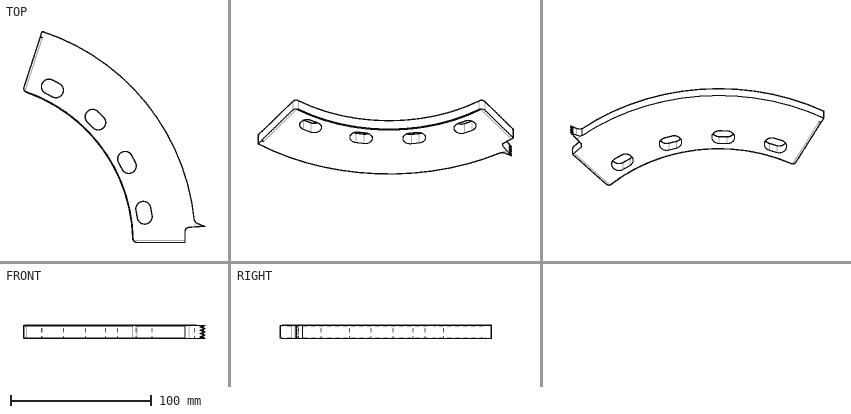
import cadquery as cq
import math

INNER_RADIUS = 113.1
OUTER_RADIUS = 157.76
SECTOR_ANGLE = 72.0
THICKNESS = 9.51
CORNER_RADIUS = 3.0

SLOT_COUNT = 4
SLOT_CIRCLE_RADIUS = 123.0
SLOT_FIRST_ANGLE = 9.9
SLOT_PITCH_ANGLE = 17.65
SLOT_LENGTH = 16.1
SLOT_WIDTH = 10.5

END_BEVEL_WIDTH = 1.6
END_BEVEL_DEPTH = 0.42
END_BEVEL_REACH = 153.5
INNER_BEVEL = 0.5

NOTCH_WALL_X = 150.4
NOTCH_FILLET_RADIUS = 2.8
RAKE_ANGLE = 4.0
TIP_X = 164.36
TIP_BACK_SLOPE = 21.0
TIP_BACK_LENGTH = 4.8
TIP_ROOT_ANGLE = 5.8
TIP_SIDE_RELIEF = 0.15

GROOVE_COUNT = 4
GROOVE_REACH = 3.4
GROOVE_TILT = 24.0
GROOVE_ROOT_OVERLAP = 2.0
GROOVE_PITCH = (THICKNESS - 2 * TIP_SIDE_RELIEF) / GROOVE_COUNT

CUT_MARGIN = 5.0


def polar(radius, angle):
    """Point in the XY plane at a radius and an angle in degrees."""
    radians = math.radians(angle)
    return (radius * math.cos(radians), radius * math.sin(radians))


def ring_sector():
    mid_angle = SECTOR_ANGLE / 2
    sector = (
        cq.Workplane("XY")
        .moveTo(INNER_RADIUS, 0)
        .lineTo(OUTER_RADIUS, 0)
        .threePointArc(polar(OUTER_RADIUS, mid_angle), polar(OUTER_RADIUS, SECTOR_ANGLE))
        .lineTo(*polar(INNER_RADIUS, SECTOR_ANGLE))
        .threePointArc(polar(INNER_RADIUS, mid_angle), (INNER_RADIUS, 0))
        .close()
        .extrude(THICKNESS)
    )
    for angle in (0, SECTOR_ANGLE):
        corner = cq.selectors.NearestToPointSelector((*polar(INNER_RADIUS, angle), THICKNESS / 2))
        sector = sector.edges(corner).fillet(CORNER_RADIUS)
    return sector


def slots():
    angles = [SLOT_FIRST_ANGLE + i * SLOT_PITCH_ANGLE for i in range(SLOT_COUNT)]
    cutters = cq.Workplane("XY")
    for angle in angles:
        slot = (
            cq.Workplane("XY")
            .center(SLOT_CIRCLE_RADIUS, 0)
            .slot2D(SLOT_LENGTH, SLOT_WIDTH, 90)
            .extrude(THICKNESS)
            .rotate((0, 0, 0), (0, 0, 1), angle)
        )
        cutters = cutters.add(slot)
    return cutters.combine()


def both_faces(cutter):
    """The cutter joined with its mirror image across mid-thickness."""
    return cutter.union(cutter.mirror("XY", (0, 0, THICKNESS / 2)))


def end_bevels():
    first = (
        cq.Workplane("YZ")
        .moveTo(0, THICKNESS - END_BEVEL_DEPTH)
        .lineTo(END_BEVEL_WIDTH, THICKNESS)
        .lineTo(0, THICKNESS)
        .close()
        .extrude(END_BEVEL_REACH)
    )
    first = both_faces(first)
    second = first.mirror("XZ").rotate((0, 0, 0), (0, 0, 1), SECTOR_ANGLE)
    return first.union(second)


def inner_bevels():
    ring = (
        cq.Workplane("XZ")
        .moveTo(INNER_RADIUS, THICKNESS - INNER_BEVEL)
        .lineTo(INNER_RADIUS + INNER_BEVEL, THICKNESS)
        .lineTo(INNER_RADIUS, THICKNESS)
        .close()
        .revolve(360, (0, 0), (0, 1))
    )
    return both_faces(ring)


def rake_y(x):
    """Y of the radial rake face at a given X."""
    return x * math.tan(math.radians(RAKE_ANGLE))


def notch():
    cutter = (
        cq.Workplane("XY")
        .moveTo(NOTCH_WALL_X, -CUT_MARGIN)
        .lineTo(TIP_X + CUT_MARGIN, -CUT_MARGIN)
        .lineTo(TIP_X + CUT_MARGIN, rake_y(TIP_X + CUT_MARGIN))
        .lineTo(NOTCH_WALL_X, rake_y(NOTCH_WALL_X))
        .close()
        .extrude(THICKNESS)
    )
    inside_corner = cq.selectors.NearestToPointSelector(
        (NOTCH_WALL_X, rake_y(NOTCH_WALL_X), THICKNESS / 2)
    )
    return cutter.edges(inside_corner).fillet(NOTCH_FILLET_RADIUS)


def tip():
    slope = math.radians(TIP_BACK_SLOPE)
    back_x = TIP_X - TIP_BACK_LENGTH * math.cos(slope)
    back_y = rake_y(TIP_X) + TIP_BACK_LENGTH * math.sin(slope)
    start_x = NOTCH_WALL_X + NOTCH_FILLET_RADIUS
    return (
        cq.Workplane("XY")
        .moveTo(start_x, rake_y(start_x))
        .lineTo(TIP_X, rake_y(TIP_X))
        .lineTo(back_x, back_y)
        .tangentArcPoint(polar(OUTER_RADIUS, TIP_ROOT_ANGLE), relative=False)
        .close()
        .extrude(THICKNESS)
    )


def tip_side_relief():
    """Shallow wedges that thin the tip from the outer radius to its point."""
    start_x = polar(OUTER_RADIUS, RAKE_ANGLE)[0]
    wedge = (
        cq.Workplane("XZ")
        .moveTo(start_x, THICKNESS)
        .lineTo(TIP_X, THICKNESS - TIP_SIDE_RELIEF)
        .lineTo(TIP_X, THICKNESS)
        .close()
        .extrude(-OUTER_RADIUS * math.sin(math.radians(TIP_ROOT_ANGLE)))
    )
    return both_faces(wedge)


def tooth_grooves():
    """V grooves whose roots rise from the rake face toward the tip."""
    tilt = math.radians(GROOVE_TILT)
    toward_root = (-math.cos(tilt), -math.sin(tilt), 0)
    root_x = TIP_X - GROOVE_REACH
    root = (root_x, rake_y(root_x))
    to_tip = (GROOVE_REACH, rake_y(TIP_X) - root[1])
    depth = to_tip[0] * math.sin(tilt) - to_tip[1] * math.cos(tilt)
    profile_plane = cq.Plane(
        origin=(*root, 0), xDir=(math.sin(tilt), -math.cos(tilt), 0), normal=toward_root
    )
    cutters = cq.Workplane("XY")
    half_mouth = GROOVE_PITCH / 2
    for i in range(GROOVE_COUNT):
        centre = TIP_SIDE_RELIEF + (i + 0.5) * GROOVE_PITCH
        groove = (
            cq.Workplane(profile_plane)
            .moveTo(0, centre)
            .lineTo(depth, centre - half_mouth)
            .lineTo(depth, centre + half_mouth)
            .close()
            .extrude(TIP_BACK_LENGTH + GROOVE_ROOT_OVERLAP, both=True)
        )
        cutters = cutters.add(groove)
    return cutters.combine()


plate = ring_sector().cut(end_bevels()).cut(inner_bevels()).cut(slots()).cut(notch())
result = plate.union(tip()).cut(tip_side_relief()).cut(tooth_grooves())